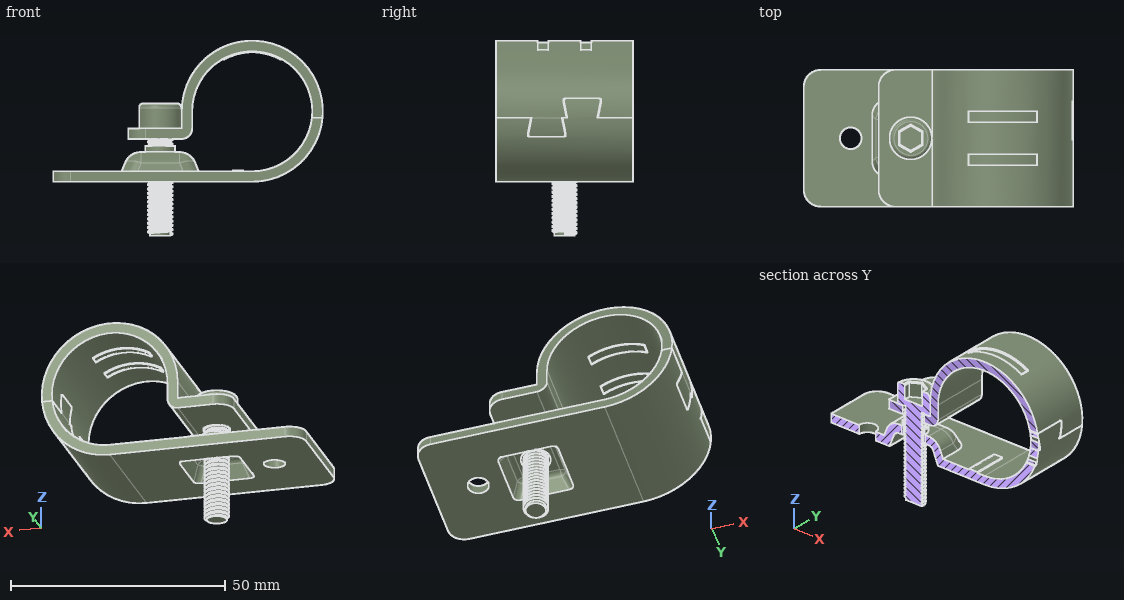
import cadquery as cq
import math


sheet = 2.5
band_width = 32.0
corner_radius = 4.0

ring_outer_radius = 16.5
ring_inner_radius = ring_outer_radius - sheet
ring_center_z = ring_outer_radius
split_z = 15.0
split_outer_x = math.sqrt(ring_outer_radius**2 - (ring_center_z - split_z) ** 2)
split_inner_x = math.sqrt(ring_inner_radius**2 - (ring_center_z - split_z) ** 2)

plate_left_x = -46.5
mounting_hole_inset = 11.0
mounting_hole_x = plate_left_x + mounting_hole_inset
mounting_hole_diameter = 5.0

flange_left_x = -29.0
flange_bottom_z = 10.0
flange_top_z = flange_bottom_z + sheet
flange_bend_radius = 2.5

tongue_length = 4.5
tongue_root_width = 7.0
tongue_tip_width = 8.8
tongue_side_gap = 0.2
tongue_corner_radius = 0.5
tongue_offset_y = 4.15

rib_width = 2.5
rib_spacing = 10.0
rib_half_angle = 29.4
groove_depth = 0.4
rib_height = 0.25
plate_rib_x = -3.3
plate_rib_length = 18.0

dome_size = 18.0
dome_height = 4.5
dome_taper = 22.0
dome_radius = 4.0
dome_top_z = sheet + dome_height
dome_wall_run = math.tan(math.radians(dome_taper))
cavity_top_z = dome_top_z - sheet
cavity_size = dome_size + 2 * (sheet * dome_wall_run - sheet / math.cos(math.radians(dome_taper)))
cavity_radius = dome_radius - sheet

bush_diameter = 7.0
bush_projection = 1.4
bush_top_z = dome_top_z + bush_projection

screw_x = -21.5
screw_diameter = 5.8
screw_root_diameter = 4.8
thread_pitch = 1.0
thread_root_width = 0.9
thread_crest_width = 0.2
thread_embed = 0.05
screw_length = 25.1
screw_tip_z = flange_top_z - screw_length
head_diameter = 9.9
head_height = 5.85
head_radius = 1.0
socket_flats = 5.1
socket_depth = 4.0
socket_chamfer = 0.25
flange_hole_diameter = 6.4


def ring_point(radius, degrees):
    """XZ point on the ring at an angle measured from +X toward +Z."""
    angle = math.radians(degrees)
    return (radius * math.cos(angle), ring_center_z + radius * math.sin(angle))


def extrude_across(outline, width=band_width, center_y=0.0):
    """Extrude an XZ outline along Y, symmetric about center_y."""
    return outline.extrude(width / 2, both=True).translate((0, center_y, 0))


def vertical_cylinder(x, diameter, bottom_z, top_z):
    return cq.Workplane("XY", origin=(x, 0, bottom_z)).circle(diameter / 2).extrude(top_z - bottom_z)


def make_tongue(center_y, direction, side_gap=0.0):
    """Dovetail bent to the ring, widening away from the split; direction is +1 for up, -1 for down.

    A side gap turns the tongue into the wider slot that receives it.
    """
    root = tongue_root_width / 2 + side_gap
    tip = tongue_tip_width / 2 + side_gap
    tip_z = split_z + direction * tongue_length
    blank = (
        cq.Workplane("YZ")
        .moveTo(center_y - root, split_z)
        .lineTo(center_y - tip, tip_z)
        .lineTo(center_y + tip, tip_z)
        .lineTo(center_y + root, split_z)
        .close()
        .extrude(ring_outer_radius)
        .edges("|X and >Z" if direction > 0 else "|X and <Z")
        .fillet(tongue_corner_radius)
    )
    ring_outline = (
        cq.Workplane("XZ", origin=(0, 0, ring_center_z)).circle(ring_outer_radius).circle(ring_inner_radius)
    )
    return blank.intersect(extrude_across(ring_outline))


def make_dome(size, bottom_z, top_z, radius):
    """Square tapered dome whose corners and top edges share one rounding radius."""
    return (
        cq.Workplane("XY", origin=(screw_x, 0, bottom_z))
        .rect(size, size)
        .extrude(top_z - bottom_z, taper=dome_taper)
        .edges("not <Z")
        .fillet(radius)
    )


def make_base():
    outline = (
        cq.Workplane("XZ")
        .moveTo(plate_left_x, 0)
        .lineTo(0, 0)
        .threePointArc(ring_point(ring_outer_radius, -45), (split_outer_x, split_z))
        .lineTo(split_inner_x, split_z)
        .threePointArc(ring_point(ring_inner_radius, -45), (0, sheet))
        .lineTo(plate_left_x, sheet)
        .close()
    )
    base = extrude_across(outline).edges("|Z and <X").fillet(corner_radius)
    base = base.union(make_dome(dome_size, sheet, dome_top_z, dome_radius))
    base = base.cut(make_dome(cavity_size, 0, cavity_top_z, cavity_radius))
    rib = cq.Workplane("XY").box(rib_width, plate_rib_length, rib_height, centered=(True, True, False))
    base = base.union(rib.translate((plate_rib_x, 0, sheet)))
    base = base.cut(vertical_cylinder(mounting_hole_x, mounting_hole_diameter, 0, sheet))
    base = base.cut(vertical_cylinder(screw_x, bush_diameter, cavity_top_z, dome_top_z))
    tongue = make_tongue(tongue_offset_y, 1)
    slot = make_tongue(-tongue_offset_y, -1, tongue_side_gap)
    return base.cut(slot).union(tongue)


def arc_bar(inner_radius, outer_radius, center_y):
    """Piece of ring over the top of the strap, as wide and as long as a rib."""
    start = 90 + rib_half_angle
    end = 90 - rib_half_angle
    outline = (
        cq.Workplane("XZ")
        .moveTo(*ring_point(outer_radius, start))
        .threePointArc(ring_point(outer_radius, 90), ring_point(outer_radius, end))
        .lineTo(*ring_point(inner_radius, end))
        .threePointArc(ring_point(inner_radius, 90), ring_point(inner_radius, start))
        .close()
    )
    return extrude_across(outline, rib_width, center_y)


def make_strap():
    bend_center_x = -ring_inner_radius - flange_bend_radius
    bend_center_z = flange_bottom_z + flange_bend_radius
    bend_reach = flange_bend_radius * math.sqrt(0.5)
    outline = (
        cq.Workplane("XZ")
        .moveTo(flange_left_x, flange_bottom_z)
        .lineTo(bend_center_x, flange_bottom_z)
        .threePointArc(
            (bend_center_x + bend_reach, bend_center_z - bend_reach),
            (-ring_inner_radius, bend_center_z),
        )
        .lineTo(-ring_inner_radius, ring_center_z)
        .threePointArc(ring_point(ring_inner_radius, 90), (split_inner_x, split_z))
        .lineTo(split_outer_x, split_z)
        .threePointArc(ring_point(ring_outer_radius, 90), (-ring_outer_radius, ring_center_z))
        .lineTo(-ring_outer_radius, flange_top_z)
        .lineTo(flange_left_x, flange_top_z)
        .close()
    )
    strap = extrude_across(outline).edges("|Z and <X").fillet(corner_radius)
    for center_y in (-rib_spacing / 2, rib_spacing / 2):
        rib = arc_bar(ring_inner_radius - rib_height, ring_inner_radius, center_y)
        groove = arc_bar(ring_outer_radius - groove_depth, ring_outer_radius + sheet, center_y)
        strap = strap.union(rib).cut(groove)
    strap = strap.cut(vertical_cylinder(screw_x, flange_hole_diameter, flange_bottom_z, flange_top_z))
    tongue = make_tongue(-tongue_offset_y, -1)
    slot = make_tongue(tongue_offset_y, 1, tongue_side_gap)
    return strap.cut(slot).union(tongue)


def make_bush():
    sleeve = vertical_cylinder(screw_x, bush_diameter, cavity_top_z, bush_top_z)
    return sleeve.cut(vertical_cylinder(screw_x, screw_diameter, cavity_top_z, bush_top_z))


def helix_wire(radius, height, start_z):
    helix = cq.Wire.makeHelix(thread_pitch, height, radius)
    return helix.translate(cq.Vector(screw_x, 0, start_z))


def make_thread_ridge(start_z, height):
    """Helical ridge of trapezoid section, rooted just inside the screw's core."""
    root_radius = screw_root_diameter / 2 - thread_embed
    crest_radius = screw_diameter / 2
    root_low = helix_wire(root_radius, height, start_z - thread_root_width / 2)
    root_high = helix_wire(root_radius, height, start_z + thread_root_width / 2)
    crest_low = helix_wire(crest_radius, height, start_z - thread_crest_width / 2)
    crest_high = helix_wire(crest_radius, height, start_z + thread_crest_width / 2)
    loop = [root_low, crest_low, crest_high, root_high]
    sides = [cq.Face.makeRuledSurface(loop[i - 1], loop[i]) for i in range(len(loop))]
    ends = []
    for pick in (cq.Wire.startPoint, cq.Wire.endPoint):
        corners = [pick(wire) for wire in loop]
        ends.append(cq.Face.makeFromWires(cq.Wire.makePolygon(corners, close=True)))
    return cq.Workplane(cq.Solid.makeSolid(cq.Shell.makeShell(sides + ends)))


def make_screw():
    core = vertical_cylinder(screw_x, screw_root_diameter, screw_tip_z, flange_top_z)
    head = vertical_cylinder(screw_x, head_diameter, flange_top_z, flange_top_z + head_height)
    head = head.faces(">Z").edges().fillet(head_radius)
    blank = core.union(head).cut(make_socket())
    ridge = make_thread_ridge(screw_tip_z + thread_root_width / 2, screw_length - thread_root_width)
    return blank.union(ridge, clean=False)


def hexagon(flats, z):
    """Hexagon centred on the screw with two corners along Y."""
    plane = cq.Plane(origin=(screw_x, 0, z), xDir=(0, 1, 0), normal=(0, 0, 1))
    return cq.Workplane(plane).polygon(6, flats / math.cos(math.pi / 6))


def make_socket():
    """Hexagon socket with a chamfered mouth."""
    top_z = flange_top_z + head_height
    hole = hexagon(socket_flats, top_z).extrude(-socket_depth)
    mouth = hexagon(socket_flats + 2 * socket_chamfer, top_z).extrude(-socket_chamfer, taper=45)
    return hole.union(mouth)


base = make_base()
strap = make_strap()
bush = make_bush()
screw = make_screw()

bodies = [base, strap, bush, screw]
result = cq.Compound.makeCompound([body.solids().val() for body in bodies])